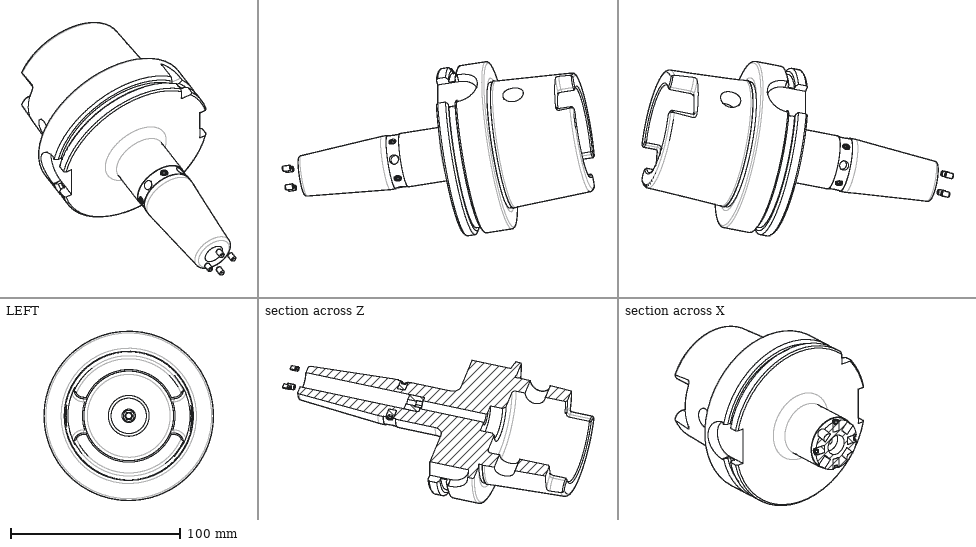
import cadquery as cq
import math


TAPER_TIP_RADIUS = 35.5
TAPER_SLOPE = 0.05
TAPER_LENGTH = 47.2
TIP_ROUND = 1.8
COLLAR_RADIUS = 38.2
COLLAR_END = 48.5
NECK_RADIUS = 37.6
NECK_END = 50.5
FACE_RELIEF_RADIUS = 40.0

SLOT_HALF_WIDTH = 10.0
SLOT_DEPTH_MINUS_Y = 15.3
SLOT_DEPTH_PLUS_Y = 10.0
SLOT_SHOULDER = 32.4
SLOT_SHOULDER_ROUND = 5.8
SLOT_FLOOR_ROUND = 1.8
SLOT_END_CHAMFER = 0.9
CROSS_HOLE_RADIUS = 6.1
CROSS_HOLE_X = 35.0

CAVITY_RADIUS = 26.5
CAVITY_DEPTH = 48.6
CAVITY_ROUND = 2.0
CAVITY_CHAMFER = 0.9
TUBE_SEAT_RADIUS = 10.5
TUBE_SEAT_DEPTH = 9.0
TUBE_SEAT_CHAMFER = 1.6
PASSAGE_RADIUS = 3.2
PASSAGE_CHAMFER = 0.7

FLANGE_RADIUS = 50.0
FLANGE_START = 50.0
FLANGE_END = 79.0
FLANGE_EDGE_ROUND = 1.0
FLANGE_BACK_CHAMFER = 1.0
GROOVE_FLOOR_RADIUS = 46.0
GROOVE_START = 68.0
GROOVE_END = 72.0
GROOVE_CHAMFER_WIDTH = 1.3
GROOVE_CHAMFER_HEIGHT = 2.2

KEYWAY_FLOOR = 44.0
KEYWAY_HALF_WIDTH = 11.2
KEYWAY_DRAFT = 12
KEYWAY_CENTRE_X = 66.2
NOTCH_CORNER = 31.3
NOTCH_CUTTER_RADIUS = 9.9
NOTCH_START = 55.0

NOSE_RADIUS = 16.0
NOSE_ROOT_ROUND = 4.9
RING_START = 108.3
RING_END = 115.9
RING_RADIUS = 15.7
NOSE_TAPER_START = 119.1
NOSE_TAPER_ANGLE = 4.5
NOSE_END = 170.0
NOSE_END_ROUND = 1.6
TOOL_BORE_RADIUS = 6.0
TOOL_BORE_START = 97.2

RING_HOLE_X = (RING_START + RING_END) / 2
RING_HOLE_FLOOR = 9.0
OPEN_HOLE_RADIUS = 2.7
SCREW_RADIUS = 2.2
SCREW_TOP = 15.1
SCREW_CHAMFER = 0.5
SCREW_SOCKET = 2.3
SCREW_SOCKET_DEPTH = 1.6

STOP_LENGTH = 9.0
STOP_HOLE_RADIUS = 1.71
STOP_SOCKET = 4.9
STOP_SOCKET_DEPTH = 3.6

PIN_RADIUS = 1.6
PIN_LENGTH = 5.0
PIN_END = 180.0
PIN_CHAMFER = 0.5
PIN_CIRCLE = 8.0
PIN_SOCKET = 1.6
PIN_SOCKET_DEPTH = 2.2

QUARTER_TURNS = [0, 90, 180, 270]
HALF_SPACING = 45
HEXAGON_SIDES = 6
CLEARANCE = 9.0


def about_axis(body, angle):
    """Turn a body about the part's axis."""
    return body.rotate((0, 0, 0), (1, 0, 0), angle)


def revolved(outline):
    """Solid of revolution about X from a closed outline whose plane coordinates are (x, radius)."""
    return outline.close().revolve(360, (0, 0, 0), (1, 0, 0))


def x_cylinder(start, end, radius):
    return cq.Workplane("YZ").workplane(offset=start).circle(radius).extrude(end - start)


def x_hexagon(start, corner_width, depth):
    return cq.Workplane("YZ").workplane(offset=start).polygon(HEXAGON_SIDES, corner_width).extrude(depth)


def holder_blank():
    """Outer shape of the holder: hollow shank, grooved flange and tapered nose, all still solid inside."""
    taper_end_radius = TAPER_TIP_RADIUS + TAPER_SLOPE * TAPER_LENGTH
    nose_end_radius = NOSE_RADIUS - (NOSE_END - NOSE_TAPER_START) * math.tan(math.radians(NOSE_TAPER_ANGLE))
    groove_chamfer_radius = FLANGE_RADIUS - GROOVE_CHAMFER_HEIGHT
    shank = revolved(
        cq.Workplane("XY").moveTo(0, 0)
        .lineTo(0, TAPER_TIP_RADIUS)
        .lineTo(TAPER_LENGTH, taper_end_radius)
        .lineTo(COLLAR_END, COLLAR_RADIUS)
        .lineTo(COLLAR_END, NECK_RADIUS)
        .lineTo(FLANGE_START, NECK_RADIUS)
        .lineTo(FLANGE_START, 0)
    )
    shank = shank.faces("<X").edges().fillet(TIP_ROUND)
    flange = revolved(
        cq.Workplane("XY").moveTo(FLANGE_START, 0)
        .lineTo(FLANGE_START, NECK_RADIUS)
        .lineTo(NECK_END, NECK_RADIUS)
        .lineTo(FLANGE_START, FACE_RELIEF_RADIUS)
        .lineTo(FLANGE_START, FLANGE_RADIUS - FLANGE_EDGE_ROUND)
        .radiusArc((FLANGE_START + FLANGE_EDGE_ROUND, FLANGE_RADIUS), FLANGE_EDGE_ROUND)
        .lineTo(GROOVE_START - GROOVE_CHAMFER_WIDTH, FLANGE_RADIUS)
        .lineTo(GROOVE_START, groove_chamfer_radius)
        .lineTo(GROOVE_START, GROOVE_FLOOR_RADIUS)
        .lineTo(GROOVE_END, GROOVE_FLOOR_RADIUS)
        .lineTo(GROOVE_END, groove_chamfer_radius)
        .lineTo(GROOVE_END + GROOVE_CHAMFER_WIDTH, FLANGE_RADIUS)
        .lineTo(FLANGE_END - FLANGE_BACK_CHAMFER, FLANGE_RADIUS)
        .lineTo(FLANGE_END, FLANGE_RADIUS - FLANGE_BACK_CHAMFER)
        .lineTo(FLANGE_END, 0)
    )
    nose = revolved(
        cq.Workplane("XY").moveTo(FLANGE_END, 0)
        .lineTo(FLANGE_END, NOSE_RADIUS + NOSE_ROOT_ROUND)
        .radiusArc((FLANGE_END + NOSE_ROOT_ROUND, NOSE_RADIUS), -NOSE_ROOT_ROUND)
        .lineTo(RING_START, NOSE_RADIUS)
        .lineTo(RING_START, RING_RADIUS)
        .lineTo(RING_END, RING_RADIUS)
        .lineTo(RING_END, NOSE_RADIUS)
        .lineTo(NOSE_TAPER_START, NOSE_RADIUS)
        .lineTo(NOSE_END, nose_end_radius)
        .lineTo(NOSE_END, 0)
    )
    nose = nose.faces(">X").edges().fillet(NOSE_END_ROUND)
    return shank.union(flange).union(nose)


def axial_bores():
    """Cutter for the stepped bore that runs through the whole holder."""
    seat_end = CAVITY_DEPTH + TUBE_SEAT_DEPTH
    return revolved(
        cq.Workplane("XY").moveTo(0, 0)
        .lineTo(0, CAVITY_RADIUS + CAVITY_CHAMFER)
        .lineTo(CAVITY_CHAMFER, CAVITY_RADIUS)
        .lineTo(CAVITY_DEPTH - CAVITY_ROUND, CAVITY_RADIUS)
        .radiusArc((CAVITY_DEPTH, CAVITY_RADIUS - CAVITY_ROUND), CAVITY_ROUND)
        .lineTo(CAVITY_DEPTH, TUBE_SEAT_RADIUS + TUBE_SEAT_CHAMFER)
        .lineTo(CAVITY_DEPTH + TUBE_SEAT_CHAMFER, TUBE_SEAT_RADIUS)
        .lineTo(seat_end, TUBE_SEAT_RADIUS)
        .lineTo(seat_end, PASSAGE_RADIUS + PASSAGE_CHAMFER)
        .lineTo(seat_end + PASSAGE_CHAMFER, PASSAGE_RADIUS)
        .lineTo(TOOL_BORE_START, PASSAGE_RADIUS)
        .lineTo(TOOL_BORE_START, TOOL_BORE_RADIUS)
        .lineTo(NOSE_END, TOOL_BORE_RADIUS)
        .lineTo(NOSE_END, 0)
    )


def slot_outline(start_x):
    """Closed cross-section of the +Y drive slot; it opens out past the shoulder with rounded key corners."""
    outer = TAPER_TIP_RADIUS + CLEARANCE
    opening = SLOT_HALF_WIDTH + SLOT_SHOULDER_ROUND
    arc_start = SLOT_SHOULDER - SLOT_SHOULDER_ROUND
    return (
        cq.Workplane("YZ").workplane(offset=start_x)
        .moveTo(0, -SLOT_HALF_WIDTH)
        .lineTo(arc_start, -SLOT_HALF_WIDTH)
        .radiusArc((SLOT_SHOULDER, -opening), SLOT_SHOULDER_ROUND)
        .lineTo(SLOT_SHOULDER, -outer)
        .lineTo(outer, -outer)
        .lineTo(outer, outer)
        .lineTo(SLOT_SHOULDER, outer)
        .lineTo(SLOT_SHOULDER, opening)
        .radiusArc((arc_start, SLOT_HALF_WIDTH), SLOT_SHOULDER_ROUND)
        .lineTo(0, SLOT_HALF_WIDTH)
        .close()
    )


def drive_slot(depth):
    """Cutter for the +Y drive slot, with a rounded floor and a 45-degree flare at the open end."""
    slot = slot_outline(0).extrude(depth).faces(">X").edges().fillet(SLOT_FLOOR_ROUND)
    flare = slot_outline(SLOT_END_CHAMFER).extrude(-SLOT_END_CHAMFER, taper=-45)
    return slot.union(flare)


def bore_edge_chamfer(depth):
    """Cutter that breaks the edge between the floor of the +Y drive slot and the cavity wall."""
    cone = revolved(
        cq.Workplane("XY").moveTo(depth, 0)
        .lineTo(depth, CAVITY_RADIUS + CAVITY_CHAMFER)
        .lineTo(depth + CAVITY_CHAMFER, CAVITY_RADIUS)
        .lineTo(depth + CAVITY_CHAMFER, 0)
    )
    window = cq.Workplane("XY").box(
        CAVITY_DEPTH, CAVITY_RADIUS + CAVITY_CHAMFER, 2 * (SLOT_HALF_WIDTH - SLOT_FLOOR_ROUND),
        centered=(False, False, True),
    )
    return cone.intersect(window)


def keyway():
    """Cutter for the U-shaped pocket on the +Y side, open towards the nose."""
    height = FLANGE_RADIUS + CLEARANCE - KEYWAY_FLOOR
    length = FLANGE_END + CLEARANCE - KEYWAY_CENTRE_X
    end_half = cq.Workplane("XY").box(2 * KEYWAY_CENTRE_X, 2 * KEYWAY_CENTRE_X, 2 * KEYWAY_CENTRE_X)
    round_end = (
        cq.Workplane("XZ", origin=(KEYWAY_CENTRE_X, KEYWAY_FLOOR, 0))
        .circle(KEYWAY_HALF_WIDTH)
        .extrude(-height, taper=-KEYWAY_DRAFT)
        .intersect(end_half)
    )
    straight = (
        cq.Workplane("XY")
        .box(length, height, 2 * KEYWAY_HALF_WIDTH, centered=(False, False, True))
        .translate((KEYWAY_CENTRE_X, KEYWAY_FLOOR, 0))
    )
    return round_end.union(straight)


def orientation_notch():
    """Cutter for the corner notch in the flange between +Y and +Z, with a round end."""
    size = FLANGE_RADIUS
    return (
        cq.Workplane("XY")
        .box(FLANGE_END - NOTCH_START + CLEARANCE, size, size, centered=False)
        .edges("<X and <Z").fillet(NOTCH_CUTTER_RADIUS)
        .translate((NOTCH_START, NOTCH_CORNER, NOTCH_CORNER))
    )


def cross_hole():
    """Cutter through both walls of the shank along Y."""
    return (
        cq.Workplane("XZ", origin=(CROSS_HOLE_X, 0, 0))
        .circle(CROSS_HOLE_RADIUS)
        .extrude(COLLAR_RADIUS + CLEARANCE, both=True)
    )


def ring_hole(radius, angle):
    """Cutter for a flat-bottomed radial hole in the ring; angle 0 points to +Z."""
    hole = (
        cq.Workplane("XY", origin=(RING_HOLE_X, 0, RING_HOLE_FLOOR))
        .circle(radius)
        .extrude(NOSE_RADIUS + CLEARANCE - RING_HOLE_FLOOR)
    )
    return about_axis(hole, angle)


def make_holder():
    holder = holder_blank().cut(axial_bores())
    for depth, angle in ((SLOT_DEPTH_PLUS_Y, 0), (SLOT_DEPTH_MINUS_Y, 180)):
        holder = holder.cut(about_axis(drive_slot(depth), angle))
        holder = holder.cut(about_axis(bore_edge_chamfer(depth), angle))
    holder = holder.cut(cross_hole())
    holder = holder.cut(keyway()).cut(about_axis(keyway(), 180)).cut(orientation_notch())
    for angle in QUARTER_TURNS:
        holder = holder.cut(ring_hole(SCREW_RADIUS, angle))
        holder = holder.cut(ring_hole(OPEN_HOLE_RADIUS, angle + HALF_SPACING))
    return holder


def make_ring_screw(angle):
    """Balance screw standing on the floor of its radial hole, with a hexagon socket facing outwards."""
    screw = (
        cq.Workplane("XY", origin=(RING_HOLE_X, 0, RING_HOLE_FLOOR))
        .circle(SCREW_RADIUS)
        .extrude(SCREW_TOP - RING_HOLE_FLOOR)
        .faces(">Z").chamfer(SCREW_CHAMFER)
        .faces(">Z").workplane().polygon(HEXAGON_SIDES, SCREW_SOCKET).cutBlind(-SCREW_SOCKET_DEPTH)
    )
    return about_axis(screw, angle)


def make_stop_screw():
    """Stop screw at the bottom of the tool bore, bored through for coolant."""
    screw = x_cylinder(TOOL_BORE_START, TOOL_BORE_START + STOP_LENGTH, TOOL_BORE_RADIUS)
    hole = x_cylinder(TOOL_BORE_START, TOOL_BORE_START + STOP_LENGTH, STOP_HOLE_RADIUS)
    return screw.cut(hole).cut(x_hexagon(TOOL_BORE_START, STOP_SOCKET, STOP_SOCKET_DEPTH))


def make_pin(angle):
    """Plug pin off the nose's end, with a hexagon socket facing the nose."""
    start = PIN_END - PIN_LENGTH
    pin = x_cylinder(start, PIN_END, PIN_RADIUS).edges().chamfer(PIN_CHAMFER)
    pin = pin.cut(x_hexagon(start, PIN_SOCKET, PIN_SOCKET_DEPTH))
    return about_axis(pin.translate((0, PIN_CIRCLE, 0)), angle)


holder = make_holder()
stop_screw = make_stop_screw()
ring_screws = [make_ring_screw(angle) for angle in QUARTER_TURNS]
pins = [make_pin(angle) for angle in QUARTER_TURNS]

result = cq.Compound.makeCompound(
    [holder.val(), stop_screw.val()] + [body.val() for body in ring_screws + pins]
)